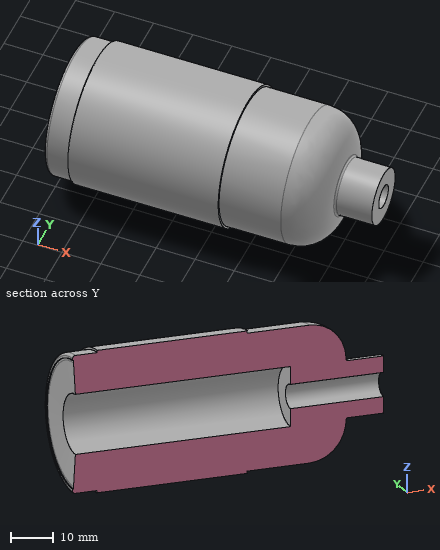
import cadquery as cq
import math

total_length = 79.75
sleeve_start = 6.3
sleeve_end = 44.8
dome_start = 60.6
dome_end = 70.2

sleeve_radius = 17.8
body_radius = 17.2
neck_radius = 7.2
bore_radius = 7.4
outlet_radius = 2.95
step_radius = 15.95
dish_radius = 15.4

rim_round = 0.7
step_depth = 0.2
dish_depth = 0.7
neck_round = 0.5
bore_depth = 55.8

dome_radius = dome_end - dome_start
diagonal = math.sqrt(0.5)


def make_body():
    """Revolve the outer shape: rim, sleeve, domed shoulder and neck."""
    rim_mid = rim_round * (1 - diagonal)
    dome_centre_radius = body_radius - dome_radius
    neck_mid = neck_round * (1 - diagonal)
    return (
        cq.Workplane("XY")
        .moveTo(0, 0)
        .lineTo(0, body_radius - rim_round)
        .threePointArc((rim_mid, body_radius - rim_mid), (rim_round, body_radius))
        .lineTo(sleeve_start, body_radius)
        .lineTo(sleeve_start, sleeve_radius)
        .lineTo(sleeve_end, sleeve_radius)
        .lineTo(sleeve_end, body_radius)
        .lineTo(dome_start, body_radius)
        .threePointArc(
            (dome_start + dome_radius * diagonal, dome_centre_radius + dome_radius * diagonal),
            (dome_end, dome_centre_radius),
        )
        .threePointArc(
            (dome_end + neck_mid, neck_radius + neck_mid),
            (dome_end + neck_round, neck_radius),
        )
        .lineTo(total_length, neck_radius)
        .lineTo(total_length, 0)
        .close()
        .revolve(360, (0, 0), (1, 0))
    )


def make_dish():
    """Stepped recess in the end face with a shallow conical floor, sloping in to the bore."""
    return (
        cq.Workplane("XY")
        .lineTo(0, step_radius)
        .lineTo(step_depth, step_radius)
        .lineTo(step_depth, dish_radius)
        .lineTo(dish_depth, bore_radius)
        .lineTo(dish_depth, 0)
        .close()
        .revolve(360, (0, 0), (1, 0))
    )


end_face = cq.Workplane("YZ")
bore = end_face.circle(bore_radius).extrude(bore_depth)
outlet = end_face.circle(outlet_radius).extrude(total_length)

result = make_body().cut(make_dish()).cut(bore).cut(outlet)